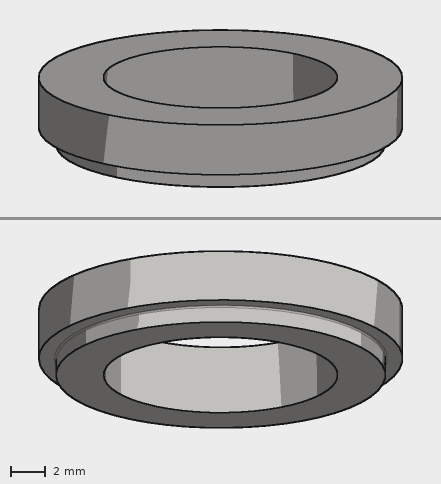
import cadquery as cq

outer_diameter = 21.0
bore_diameter = 13.5
total_height = 4.0

step_diameter = 19.0
step_height = 1.0
root_fillet = 0.1

outer_radius = outer_diameter / 2
bore_radius = bore_diameter / 2
step_radius = step_diameter / 2

section = (
    cq.Workplane("XZ")
    .moveTo(bore_radius, 0)
    .lineTo(step_radius, 0)
    .lineTo(step_radius, step_height - root_fillet)
    .radiusArc((step_radius + root_fillet, step_height), root_fillet)
    .lineTo(outer_radius, step_height)
    .lineTo(outer_radius, total_height)
    .lineTo(bore_radius, total_height)
    .close()
)

result = section.revolve(360, (0, 0, 0), (0, 1, 0))